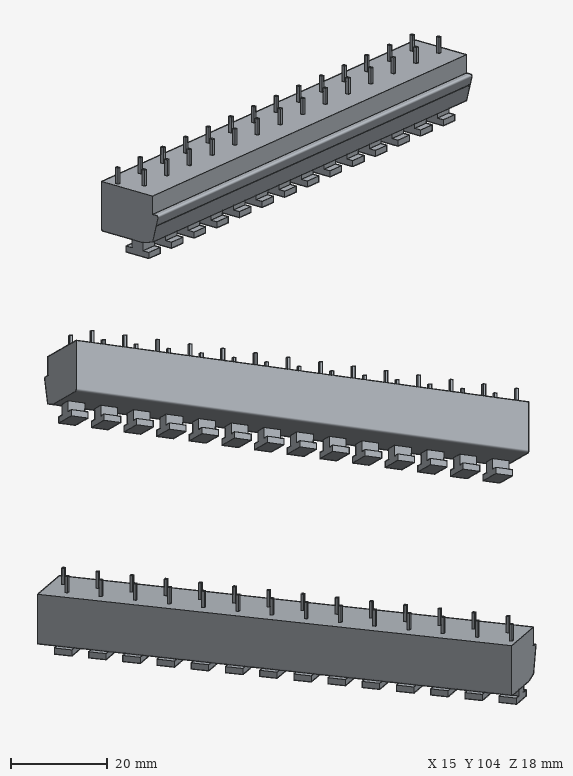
import cadquery as cq
import math

length = 104.0
width = 15.0
top_width = 13.5
height = 10.9

ledge_height = 6.9
ledge_rounding = 0.4
slope_angle = math.radians(14.2)
lower_corner_height = 0.7
underside_end = 10.7

ledge_corner_x = width + ledge_rounding * (math.tan(slope_angle) + 1 / math.cos(slope_angle) - 1)
lower_corner_x = ledge_corner_x - (ledge_height - lower_corner_height) * math.tan(slope_angle)

lower_rounding = 0.47

groove_end_wall = 0.3
groove_floor = 12.6
groove_top = 4.6
groove_bottom = 3.3
groove_ramp_start = 13.6
groove_ramp_end = 14.6

pole_count = 14
last_pole_shortfall = 1.0
pitch = (length + last_pole_shortfall) / pole_count

pin_width = 0.7
pin_depth = 0.6
pin_height = 3.5
left_row_x = 3.3
row_spacing = 5.0
left_row_end_gap = 1.2
row_stagger = 2.5

foot_drop = 3.6
foot_length = 3.8
foot_end_gap = 2.9
foot_x = 8.7
stem_width = 2.9
flange_width = 6.0
flange_thickness = 1.4


def prism(outline, prism_length):
    """Extrude an X-Z outline along Y, centred on Y = 0."""
    return cq.Workplane("XZ").polyline(outline).close().extrude(prism_length / 2, both=True)


def box(size, base_center):
    """Box standing on the given base center."""
    return cq.Workplane("XY").box(*size, centered=(True, True, False)).translate(base_center)


def make_housing():
    sharp = prism(
        [
            (0, 0),
            (underside_end, 0),
            (lower_corner_x, lower_corner_height),
            (ledge_corner_x, ledge_height),
            (top_width, ledge_height),
            (top_width, height),
            (0, height),
        ],
        length,
    )
    rounded = sharp.edges(">X").fillet(ledge_rounding)
    return rounded.edges("<X and <Z").fillet(lower_rounding)


def make_groove():
    """Cutter with a ramped lower side that opens onto the right slope."""
    return prism(
        [
            (groove_floor, groove_bottom),
            (groove_ramp_start, groove_bottom),
            (groove_ramp_end, groove_top),
            (groove_floor, groove_top),
        ],
        length - 2 * groove_end_wall,
    )


def make_pin(x, y):
    return box((pin_width, pin_depth, pin_height), (x, y, height))


def make_foot(y):
    stem = box((stem_width, foot_length, foot_drop), (foot_x, y, -foot_drop))
    flange = box((flange_width, foot_length, flange_thickness), (foot_x, y, -foot_drop))
    return stem.union(flange)


result = make_housing().cut(make_groove())
for pole in range(pole_count):
    pole_start = pole * pitch - length / 2
    left_pin_y = pole_start + left_row_end_gap
    result = result.union(make_pin(left_row_x, left_pin_y))
    result = result.union(make_pin(left_row_x + row_spacing, left_pin_y + row_stagger))
    result = result.union(make_foot(pole_start + foot_end_gap))